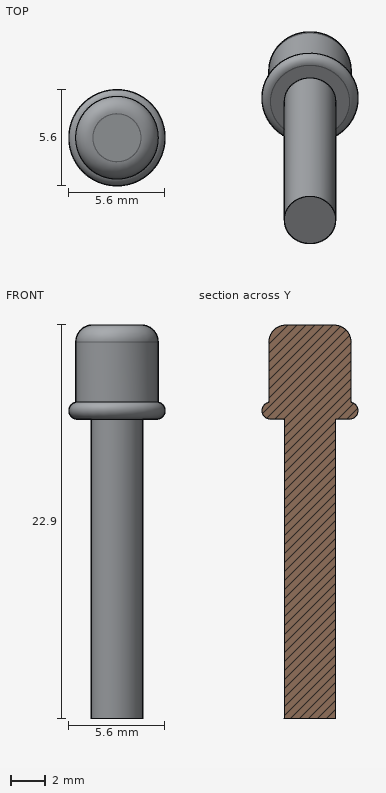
import cadquery as cq

total_height = 22.9
stem_diameter = 3.0
stem_length = 17.4

head_diameter = 4.8
head_top_radius = 1.0

collar_diameter = 5.6
collar_thickness = 1.0
rim_radius = collar_thickness / 2

collar_middle = stem_length + rim_radius
collar_top = stem_length + collar_thickness
rim_center = collar_diameter / 2 - rim_radius


def make_stem():
    return cq.Workplane("XY").circle(stem_diameter / 2).extrude(stem_length)


def make_collar():
    """Revolve a half-section whose outer end is a semicircle."""
    return (
        cq.Workplane("XZ")
        .moveTo(0, stem_length)
        .lineTo(rim_center, stem_length)
        .threePointArc((collar_diameter / 2, collar_middle), (rim_center, collar_top))
        .lineTo(0, collar_top)
        .close()
        .revolve(360, (0, 0), (0, 1))
    )


def make_head():
    """The head starts inside the collar so that its side meets the rounded rim."""
    return (
        cq.Workplane("XY")
        .workplane(offset=collar_middle)
        .circle(head_diameter / 2)
        .extrude(total_height - collar_middle)
        .faces(">Z")
        .edges()
        .fillet(head_top_radius)
    )


result = make_stem().union(make_collar()).union(make_head())